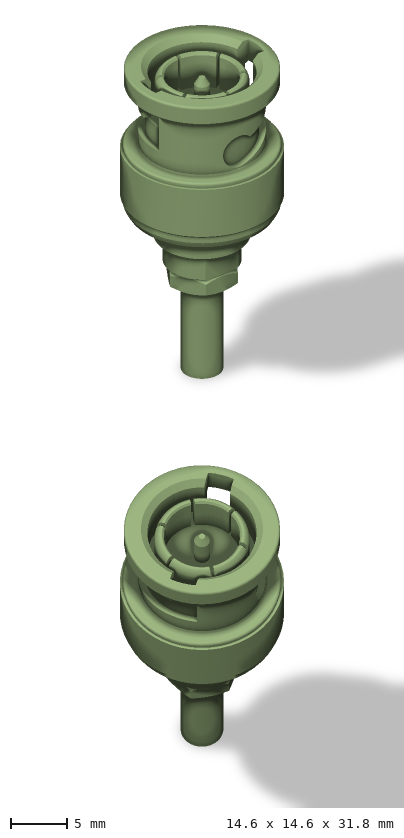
import cadquery as cq
import math

total_length = 31.75
nut_bottom = 9.52
nut_top = 11.18
body_bottom = 11.37
collar_bottom = 14.15
barrel_bottom = 16.92
barrel_top = 23.8
socket_floor = 27.4
flange_bottom = 29.35

cable_radius = 1.9
body_radius = 3.52
collar_radius = 4.35
barrel_radius = 7.3
barrel_rim_radius = 7.05
sleeve_radius = 5.68
sleeve_foot_radius = 5.85
core_radius = 5.08
bore_radius = 4.85
bore_mouth_radius = 5.43
flange_radius = 6.95

body_edge = 0.1
barrel_top_land = 0.48
barrel_top_round = 0.22
barrel_bottom_chamfer = 0.25
barrel_bottom_land = 1.2
barrel_tail_height = 0.65
barrel_tail_inset = 0.35
barrel_tail_break_height = 0.38
barrel_tail_break_inset = 0.13
flange_top_round = 0.22
flange_rim_bottom = 29.88
flange_rim_round = 0.2
bore_chamfer_height = 0.57
sleeve_foot_height = 0.13

across_flats = 6.05
nut_sides = 6
nut_chamfer_angle = 30.0

track_entry_width = 2.38
ramp_width = 2.3
ramp_angle = 14.0
seat_radius = 1.62
seat_height = 25.7
entry_reach = 6.05

contact_top = 30.92
contact_radius = 4.22
contact_crest_radius = 3.8
contact_round_height = 0.75
contact_bore_radius = 3.4
contact_lip_radius = 3.55
contact_lip_depth = 0.2
slit_width = 0.35
slit_count = 6
pin_radius = 0.7
pin_tip_radius = 0.3
pin_tip_height = 0.7
pin_top = 30.6


def cylinder(radius, bottom, top):
    return cq.Workplane("XY").workplane(offset=bottom).circle(radius).extrude(top - bottom)


def revolve_profile(points):
    """Turn a closed (radius, height) outline around the Z axis."""
    return cq.Workplane("XZ").polyline(points).close().revolve(360, (0, 0), (0, 1))


def wrench_body():
    """Round body with two opposite wrench flats and a broken lower edge."""
    body = cylinder(body_radius, body_bottom, collar_bottom).faces("<Z").chamfer(body_edge)
    flats = cq.Workplane("XY").box(across_flats, 2 * body_radius, 2 * total_length)
    return body.intersect(flats)


def hex_nut():
    """Hexagon with flats on +X and -X, its corners chamfered at both ends."""
    half_side_angle = 180 / nut_sides
    flat_radius = across_flats / 2
    corner_radius = flat_radius / math.cos(math.radians(half_side_angle))
    drop = (corner_radius - flat_radius) * math.tan(math.radians(nut_chamfer_angle))
    hexagon = (
        cq.Workplane("XY")
        .workplane(offset=nut_bottom)
        .polygon(nut_sides, 2 * corner_radius)
        .extrude(nut_top - nut_bottom)
        .rotate((0, 0, 0), (0, 0, 1), half_side_angle)
    )
    chamfer_envelope = revolve_profile([
        (0, nut_bottom),
        (flat_radius, nut_bottom),
        (corner_radius, nut_bottom + drop),
        (corner_radius, nut_top - drop),
        (flat_radius, nut_top),
        (0, nut_top),
    ])
    return hexagon.intersect(chamfer_envelope)


def barrel():
    """Grip barrel with a stepped rim on top and a tapered tail below."""
    shoulder = barrel_top - barrel_top_land
    grip_bottom = barrel_bottom + barrel_bottom_land + barrel_bottom_chamfer
    return (
        cq.Workplane("XZ")
        .moveTo(0, barrel_bottom)
        .lineTo(barrel_rim_radius - barrel_tail_inset, barrel_bottom)
        .lineTo(barrel_rim_radius - barrel_tail_break_inset, barrel_bottom + barrel_tail_break_height)
        .lineTo(barrel_rim_radius, barrel_bottom + barrel_tail_height)
        .lineTo(barrel_rim_radius, grip_bottom - barrel_bottom_chamfer)
        .lineTo(barrel_radius, grip_bottom)
        .lineTo(barrel_radius, shoulder)
        .lineTo(barrel_rim_radius, shoulder)
        .lineTo(barrel_rim_radius, barrel_top - barrel_top_round)
        .tangentArcPoint((barrel_rim_radius - barrel_top_round, barrel_top), relative=False)
        .lineTo(0, barrel_top)
        .close()
        .revolve(360, (0, 0), (0, 1))
    )


def coupling_sleeve():
    """Sleeve and flange with a chamfered bore above the socket floor."""
    return (
        cq.Workplane("XZ")
        .moveTo(0, barrel_top)
        .lineTo(sleeve_foot_radius, barrel_top)
        .lineTo(sleeve_radius, barrel_top + sleeve_foot_height)
        .lineTo(sleeve_radius, flange_bottom)
        .lineTo(flange_radius - flange_rim_round, flange_rim_bottom)
        .tangentArcPoint((flange_radius, flange_rim_bottom + flange_rim_round), relative=False)
        .lineTo(flange_radius, total_length - flange_top_round)
        .tangentArcPoint((flange_radius - flange_top_round, total_length), relative=False)
        .lineTo(bore_mouth_radius, total_length)
        .lineTo(bore_radius, total_length - bore_chamfer_height)
        .lineTo(bore_radius, socket_floor)
        .lineTo(0, socket_floor)
        .close()
        .revolve(360, (0, 0), (0, 1))
    )


def bayonet_track():
    """Cutter for one pin: an entry slot at -Y, a ramp falling towards -X and a round seat."""
    entry_edge = track_entry_width / 2
    entry_height = total_length - socket_floor
    entry = (
        cq.Workplane("XY")
        .box(track_entry_width, entry_reach, entry_height, centered=(True, False, False))
        .translate((0, -entry_reach, socket_floor))
        .intersect(cylinder(entry_reach, socket_floor, total_length))
    )
    ramp = (
        cq.Workplane("XY")
        .box(barrel_radius + entry_edge, barrel_radius, ramp_width, centered=False)
        .translate((-barrel_radius, -barrel_radius, -seat_radius))
        .rotate((0, 0, 0), (1, 0, 0), -ramp_angle)
        .translate((0, 0, seat_height))
    )
    seat = cq.Workplane("YZ").center(0, seat_height).circle(seat_radius).extrude(-barrel_radius)
    core = cylinder(core_radius, barrel_top, socket_floor)
    return ramp.union(seat).cut(core).union(entry)


def contact_ring():
    """Ring of spring fingers with a rounded crest, parted by radial slits."""
    ring = (
        cq.Workplane("XZ")
        .moveTo(contact_bore_radius, socket_floor)
        .lineTo(contact_radius, socket_floor)
        .lineTo(contact_radius, contact_top - contact_round_height)
        .tangentArcPoint((contact_crest_radius, contact_top), relative=False)
        .lineTo(contact_lip_radius, contact_top)
        .lineTo(contact_bore_radius, contact_top - contact_lip_depth)
        .close()
        .revolve(360, (0, 0), (0, 1))
    )
    slit_height = contact_top - socket_floor
    for i in range(slit_count // 2):
        slit = (
            cq.Workplane("XY")
            .box(3 * contact_radius, slit_width, slit_height, centered=(True, True, False))
            .translate((0, 0, socket_floor))
            .rotate((0, 0, 0), (0, 0, 1), i * 360 / slit_count)
        )
        ring = ring.cut(slit)
    return ring


def centre_pin():
    """Contact pin with a conical tip."""
    return revolve_profile([
        (0, socket_floor),
        (pin_radius, socket_floor),
        (pin_radius, pin_top - pin_tip_height),
        (pin_tip_radius, pin_top),
        (0, pin_top),
    ])


track = bayonet_track()
opposite_track = track.rotate((0, 0, 0), (0, 0, 1), 180)
coupling = barrel().union(coupling_sleeve()).cut(track).cut(opposite_track)

result = (
    cylinder(cable_radius, 0, collar_bottom)
    .union(hex_nut())
    .union(wrench_body())
    .union(cylinder(collar_radius, collar_bottom, barrel_bottom))
    .union(coupling)
    .union(contact_ring())
    .union(centre_pin())
)